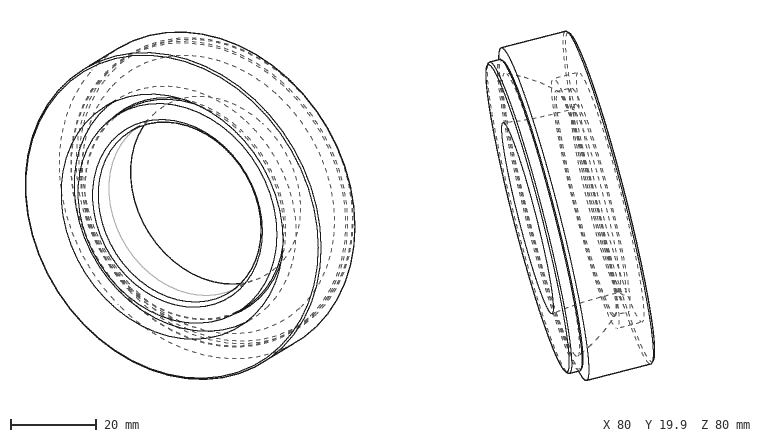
import cadquery as cq
import math

WIDTH = 19.9
FRONT = -WIDTH / 2
EDGE = 0.5

HOUSING_RADIUS = 40.0
HOUSING_RIM_DEPTH = 16.0
HOUSING_REAR_RISE = 0.6
RECESS_RADIUS = 30.0
RECESS_DEPTH = 6.0

BALL_RADIUS = 37.0
NECK_RADIUS = 26.9
NECK_DEPTH = 5.7

SHAFT_FRONT_DEPTH = 2.5
FLANGE_RADIUS = 37.4
FLANGE_DEPTH = 16.6
FLANGE_EDGE = 0.3
BORE_RADIUS = 22.0
BORE_CHAMFER = 1.0
BORE_STRAIGHT_END = 8.3
BORE_REAR_RADIUS = 23.0
BORE_FLARE_BULGE = 0.2

neck_end = FRONT + NECK_DEPTH
recess_floor = FRONT + RECESS_DEPTH
ball_centre = neck_end + math.sqrt(BALL_RADIUS**2 - NECK_RADIUS**2)
flange_under = FRONT + FLANGE_DEPTH


def ball_radius_at(y):
    return math.sqrt(BALL_RADIUS**2 - (ball_centre - y) ** 2)


def ball_point(y):
    return (ball_radius_at(y), y)


def revolve_about_y(profile):
    return profile.close().revolve(360, (0, 0, 0), (0, 1, 0))


def make_housing_ring():
    rim_rear = FRONT + HOUSING_RIM_DEPTH
    seat_rear = rim_rear + HOUSING_REAR_RISE
    return revolve_about_y(
        cq.Workplane("XY")
        .moveTo(RECESS_RADIUS, FRONT)
        .lineTo(HOUSING_RADIUS - EDGE, FRONT)
        .lineTo(HOUSING_RADIUS, FRONT + EDGE)
        .lineTo(HOUSING_RADIUS, rim_rear)
        .lineTo(*ball_point(seat_rear))
        .threePointArc(ball_point((seat_rear + recess_floor) / 2), ball_point(recess_floor))
        .lineTo(RECESS_RADIUS, recess_floor)
    )


def make_shaft_ring():
    face = FRONT + SHAFT_FRONT_DEPTH
    rear = FRONT + WIDTH
    flare_start = FRONT + BORE_STRAIGHT_END
    flare_middle = ((BORE_RADIUS + BORE_REAR_RADIUS) / 2 - BORE_FLARE_BULGE, (flare_start + rear) / 2)
    return revolve_about_y(
        cq.Workplane("XY")
        .moveTo(BORE_RADIUS + BORE_CHAMFER, face)
        .lineTo(NECK_RADIUS, face)
        .lineTo(NECK_RADIUS, neck_end)
        .threePointArc(ball_point((neck_end + flange_under) / 2), ball_point(flange_under))
        .lineTo(FLANGE_RADIUS - FLANGE_EDGE, flange_under)
        .lineTo(FLANGE_RADIUS, flange_under + FLANGE_EDGE)
        .lineTo(FLANGE_RADIUS, rear - EDGE)
        .lineTo(FLANGE_RADIUS - EDGE, rear)
        .lineTo(BORE_REAR_RADIUS, rear)
        .threePointArc(flare_middle, (BORE_RADIUS, flare_start))
        .lineTo(BORE_RADIUS, face + BORE_CHAMFER)
    )


housing_ring = make_housing_ring()
shaft_ring = make_shaft_ring()

result = cq.Compound.makeCompound([housing_ring.val(), shaft_ring.val()])